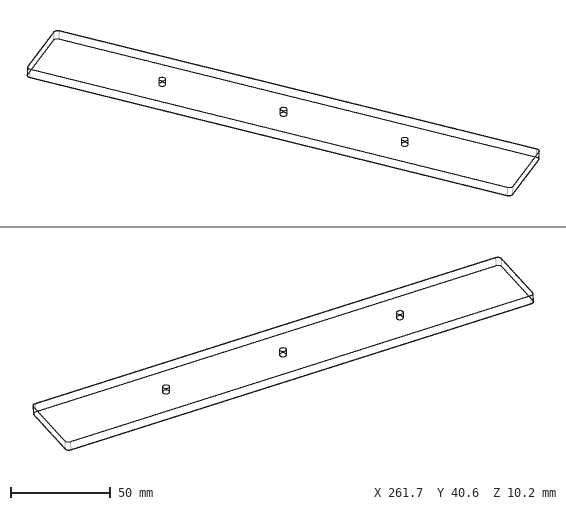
import cadquery as cq
import math

length = 261.7
width = 40.3
thickness = 5.0
corner_radius = 2.0
tilt_angle = 7.5

hole_diameter = 3.5
hole_depth = 3.5
hole_count = 3
hole_spacing = length / (hole_count + 1)

face_middle_y = thickness / 2 * math.sin(math.radians(tilt_angle))
face_middle_z = thickness / 2 * math.cos(math.radians(tilt_angle))


def tilted_plate():
    """Plate centred on the origin, its four corners rounded, tilted about X."""
    flat_plate = cq.Workplane("XY").box(length, width, thickness).edges("|Z").fillet(corner_radius)
    return flat_plate.rotate((0, 0, 0), (1, 0, 0), -tilt_angle)


def hole_cutters():
    """Row of upright pins with level ends, reaching from inside the plate to above it."""
    return (
        cq.Workplane("XY", origin=(0, face_middle_y, face_middle_z - hole_depth))
        .rarray(hole_spacing, 2.5, hole_count, 1)
        .circle(hole_diameter / 2)
        .extrude(2 * hole_depth)
    )


result = tilted_plate().cut(hole_cutters())